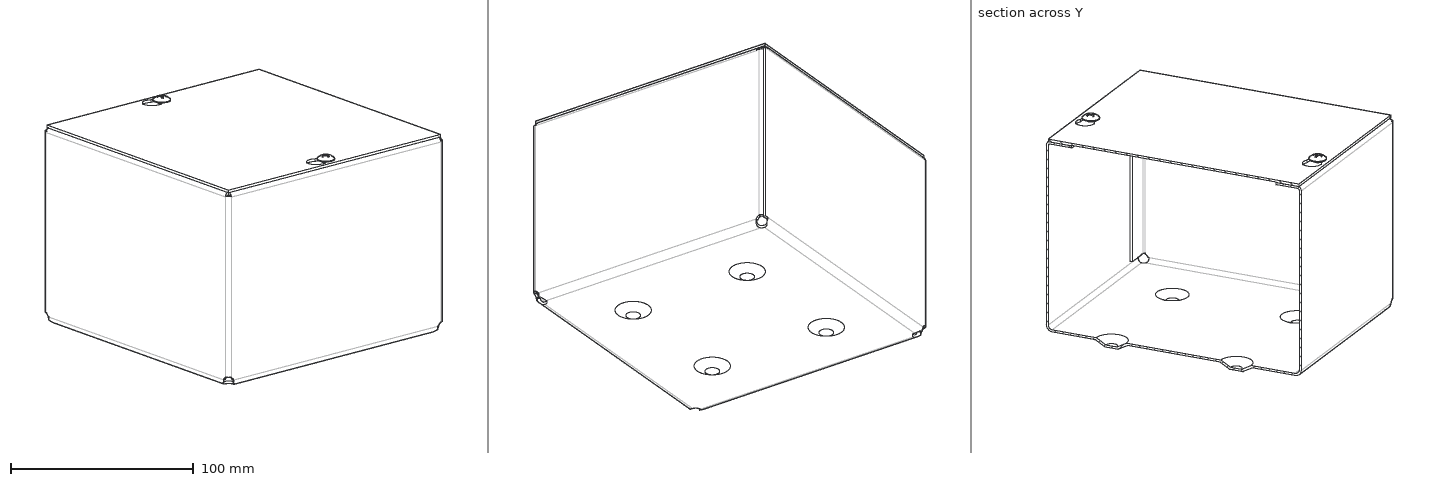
import cadquery as cq


WIDTH = 155.5
DEPTH = 155.5
TOTAL_HEIGHT = 119.2
HALF_X = WIDTH / 2
HALF_Y = DEPTH / 2

SHEET = 1.5
CORNER_RADIUS = 2.3
TOP_RADIUS = 2.3
FLOOR_RADIUS = 3.9
FLANGE_WIDTH = 15.5

SEAM_GAP = 0.6
TAB_LENGTH = 15.5

HEAD_DIAMETER = 9.8
RIM_HEIGHT = 0.5
DOME_HEIGHT = 2.2
SHANK_DIAMETER = 4.2
SHANK_LENGTH = 9.3
RECESS_SPAN = 5.3
RECESS_WIDTH = 1.2
RECESS_DEPTH = 1.5
RECESS_TAPER = 15.0
SCREW_X = 69.0
LEFT_SCREW_TURN = -28.0
RIGHT_SCREW_TURN = 0.0

FOOT_HEIGHT = 3.3
FOOT_TOP_DIAMETER = 19.9
FOOT_BOTTOM_DIAMETER = 8.1
FOOT_POSITION = 38.0

LID_SIDE = 152.8
KEYHOLE_DIAMETER = 10.5
KEYHOLE_SLOT = 8.7
KEYHOLE_DROP = 7.0

FLOOR_RELIEF_RADIUS = 3.1
FLOOR_RELIEF_INSET = 3.7
SEAM_RELIEF_INSET = 1.5
WALL_RELIEF_RADIUS = 3.1
WALL_RELIEF_INSET = 1.1
WALL_RELIEF_HEIGHT = 2.8
TOP_RELIEF_DEPTH = 1.9

HEAD_HEIGHT = RIM_HEIGHT + DOME_HEIGHT
LID_TOP = TOTAL_HEIGHT - HEAD_HEIGHT
BOX_TOP = LID_TOP - SHEET
FLANGE_BOTTOM = BOX_TOP - SHEET
FLOOR_BOTTOM = FOOT_HEIGHT
FLOOR_BEND_TOP = FLOOR_BOTTOM + FLOOR_RADIUS
BEND_BOTTOM = FLOOR_BOTTOM + WALL_RELIEF_HEIGHT + WALL_RELIEF_RADIUS
BEND_TOP = BOX_TOP - TOP_RELIEF_DEPTH
SEAM_SHIFT = SHEET + SEAM_GAP


def level(z):
    """Horizontal workplane at height z."""
    return cq.Workplane().workplane(offset=z)


def block(x_range, y_range, z_range):
    """Box between two limits along each axis, given in either order."""
    spans = [sorted(limits) for limits in (x_range, y_range, z_range)]
    sizes = [high - low for low, high in spans]
    return cq.Workplane().box(*sizes, centered=False).translate(tuple(low for low, _ in spans))


def bent_block(inset):
    """Solid bounded by the bent sheet's outer faces, moved inwards by the inset."""
    limit_x = HALF_X - inset
    limit_y = HALF_Y - inset
    plain = block((-limit_x, limit_x), (-limit_y, limit_y), (FLOOR_BOTTOM + inset, BOX_TOP - inset))
    solid = plain.edges("|Z and (>X or <Y)").fillet(CORNER_RADIUS - inset)
    for axis in ("X", "Y"):
        floor_bends = plain.edges(f"|{axis} and <Z").fillet(FLOOR_RADIUS - inset)
        all_bends = floor_bends.edges(f"|{axis} and >Z").fillet(TOP_RADIUS - inset)
        solid = solid.intersect(all_bends)
    return solid


def flange_opening():
    """Opening left between the four top flanges."""
    opening = level(FLANGE_BOTTOM).rect(WIDTH - 2 * FLANGE_WIDTH, DEPTH - 2 * FLANGE_WIDTH)
    return opening.extrude(SHEET)


def floor_relief(x, y):
    """Upright round cut through the floor and the floor bends at one corner."""
    return level(FLOOR_BOTTOM).center(x, y).circle(FLOOR_RELIEF_RADIUS).extrude(FLOOR_RADIUS)


def wall_relief(x, y, inwards):
    """Round cut through one wall, from its outer face inwards."""
    centre = cq.Vector(x, y, FLOOR_BOTTOM + WALL_RELIEF_HEIGHT)
    return cq.Workplane(
        cq.Solid.makeCylinder(WALL_RELIEF_RADIUS, CORNER_RADIUS, centre, cq.Vector(*inwards))
    )


def corner_cuts(side_x, side_y):
    """Everything cut away at one upright corner of the box."""
    at_seam = side_x < 0 < side_y
    shift = SEAM_SHIFT if at_seam else 0
    inset_y = SEAM_RELIEF_INSET if at_seam else FLOOR_RELIEF_INSET
    face_x = side_x * HALF_X
    face_y = side_y * HALF_Y
    bend_x = side_x * (HALF_X - shift - CORNER_RADIUS)
    bend_y = side_y * (HALF_Y - CORNER_RADIUS)

    floor_cut = floor_relief(side_x * (HALF_X - FLOOR_RELIEF_INSET), side_y * (HALF_Y - inset_y))
    y_wall_cut = wall_relief(side_x * (HALF_X - shift - WALL_RELIEF_INSET), face_y, (0, -side_y, 0))
    top_cut = block((face_x, bend_x), (face_y, bend_y), (BEND_TOP, BOX_TOP))
    if at_seam:
        left_face = -HALF_X + SHEET
        back_end = block((left_face, bend_x), (face_y, bend_y), (FLOOR_BOTTOM, BOX_TOP))
        bend_end = block((face_x, bend_x), (face_y, bend_y), (FLOOR_BOTTOM, FLOOR_BEND_TOP))
        beside_wall = block((left_face, 0), (0, HALF_Y), (0, TOTAL_HEIGHT))
        return [floor_cut, top_cut, back_end, bend_end, y_wall_cut.intersect(beside_wall)]
    x_wall_cut = wall_relief(face_x, side_y * (HALF_Y - WALL_RELIEF_INSET), (-side_x, 0, 0))
    return [floor_cut, top_cut, y_wall_cut, x_wall_cut]


def seam_tab():
    """Upright bend at the end of the back wall, with its tab behind the left wall."""
    outer_x = -HALF_X + SEAM_SHIFT
    overlap_x = outer_x + CORNER_RADIUS + SHEET
    tab_end = HALF_Y - TAB_LENGTH
    bend_height = (BEND_BOTTOM, BEND_TOP)
    outside = block((outer_x, overlap_x), (tab_end, HALF_Y), bend_height)
    outside = outside.edges("|Z and <X and >Y").fillet(CORNER_RADIUS)
    inside = block((outer_x + SHEET, overlap_x + SHEET), (tab_end - SHEET, HALF_Y - SHEET), bend_height)
    inside = inside.edges("|Z and <X and >Y").fillet(CORNER_RADIUS - SHEET)
    return outside.cut(inside)


def foot_cones(top_diameter, bottom_diameter, bottom):
    """Four cones of the feet's height, standing at the given level."""
    base = cq.Vector(0, 0, bottom)
    cone = cq.Solid.makeCone(bottom_diameter / 2, top_diameter / 2, FOOT_HEIGHT, base)
    centres = cq.Workplane().rect(2 * FOOT_POSITION, 2 * FOOT_POSITION, forConstruction=True).vertices()
    return centres.eachpoint(lambda place: cone.moved(place), combine=False)


def make_box():
    box = bent_block(0).cut(bent_block(SHEET)).cut(flange_opening())
    for side_x in (-1, 1):
        for side_y in (-1, 1):
            for cut in corner_cuts(side_x, side_y):
                box = box.cut(cut)
    box = box.union(seam_tab())

    box = box.union(foot_cones(FOOT_TOP_DIAMETER, FOOT_BOTTOM_DIAMETER, 0))
    box = box.cut(foot_cones(FOOT_TOP_DIAMETER - SHEET, FOOT_BOTTOM_DIAMETER - SHEET, SHEET))

    holes = level(FLANGE_BOTTOM).pushPoints([(-SCREW_X, 0), (SCREW_X, 0)]).circle(SHANK_DIAMETER / 2)
    return box.cut(holes.extrude(SHEET))


def keyhole(x):
    """Slot under the screw head, opening into a round end that lets the head pass."""
    length = KEYHOLE_DROP + KEYHOLE_SLOT
    narrow = level(BOX_TOP).center(x, -KEYHOLE_DROP / 2).slot2D(length, KEYHOLE_SLOT, 90).extrude(SHEET)
    wide = level(BOX_TOP).center(x, -KEYHOLE_DROP).circle(KEYHOLE_DIAMETER / 2).extrude(SHEET)
    return narrow.union(wide)


def make_lid():
    lid = level(BOX_TOP).rect(LID_SIDE, LID_SIDE).extrude(SHEET)
    return lid.cut(keyhole(-SCREW_X)).cut(keyhole(SCREW_X))


def make_screw(x, turn):
    """Domed screw with a cross recess turned by the given angle in degrees."""
    head_radius = HEAD_DIAMETER / 2
    dome_radius = (head_radius ** 2 + DOME_HEIGHT ** 2) / (2 * DOME_HEIGHT)
    dome = cq.Workplane().sphere(dome_radius).translate((0, 0, TOTAL_HEIGHT - dome_radius))
    head = level(LID_TOP).circle(head_radius).extrude(HEAD_HEIGHT).intersect(dome)
    shank = level(LID_TOP).circle(SHANK_DIAMETER / 2).extrude(-SHANK_LENGTH)
    screw = head.union(shank)
    for angle in (turn, turn + 90):
        slot = level(TOTAL_HEIGHT).rect(RECESS_SPAN, RECESS_WIDTH).extrude(-RECESS_DEPTH, taper=RECESS_TAPER)
        screw = screw.cut(slot.rotate((0, 0, 0), (0, 0, 1), angle))
    return screw.translate((x, 0, 0))


box = make_box()
lid = make_lid()
screws = [make_screw(-SCREW_X, LEFT_SCREW_TURN), make_screw(SCREW_X, RIGHT_SCREW_TURN)]

bodies = [box, lid, *screws]
result = cq.Compound.makeCompound([body.solids().val() for body in bodies])